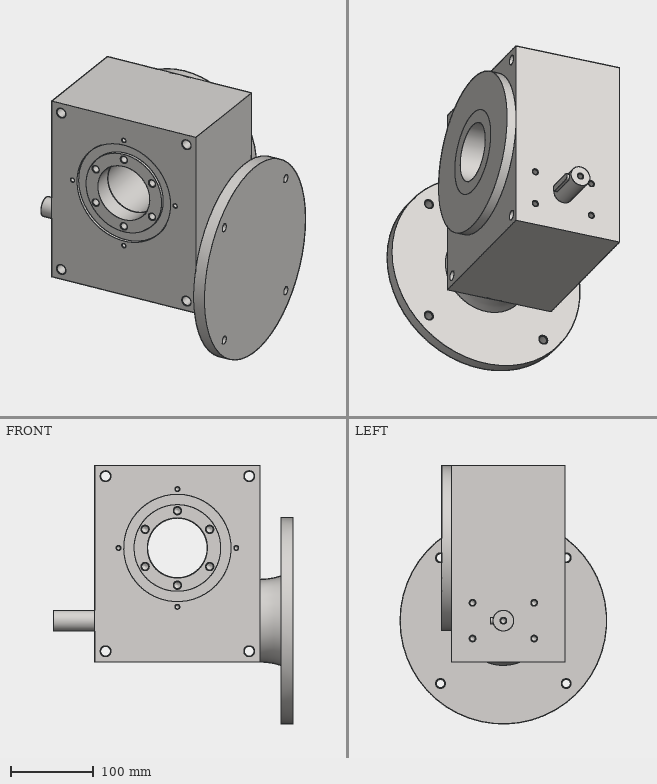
import cadquery as cq
import math

HOUSING_WIDTH = 200.0
INPUT_FLANGE_DIAMETER = 250.0
OVERALL_HEIGHT = 313.0
OVERALL_DEPTH = 149.5

OUTPUT_FLANGE_THICKNESS = 12.0
OUTPUT_FLANGE_DIAMETER = HOUSING_WIDTH
CORNER_HOLE_DIAMETER = 12.0
CORNER_HOLE_MOUTH = 13.0
CORNER_HOLE_MARGIN = 13.0

GROOVE_DIAMETER = 130.0
GROOVE_DEPTH = 4.0
COVER_HOLE_DIAMETER = 5.0
COVER_HOLE_MOUTH = 6.0
COVER_HOLE_CIRCLE = 142.5
COVER_HOLE_COUNT = 4
COVER_HOLE_DEPTH = 10.0

NECK_DIAMETER = 100.2
NECK_FLARED_DIAMETER = 108.3
NECK_LENGTH = 25.0
INPUT_FLANGE_THICKNESS = 15.0
FLANGE_HOLE_DIAMETER = 10.0
FLANGE_HOLE_MOUTH = 12.0
FLANGE_HOLE_CIRCLE = 215.0
FLANGE_HOLE_COUNT = 4
SIDE_HOLE_DIAMETER = 6.5
SIDE_HOLE_MOUTH = 8.0
SIDE_HOLE_SPACING_Y = 74.5
SIDE_HOLE_SPACING_Z = 43.2
SIDE_HOLE_DEPTH = 15.0

HOLLOW_SHAFT_DIAMETER = 105.0
BORE_DIAMETER = 72.0
WIDE_BORE_DIAMETER = 73.0
NARROW_BORE_LENGTH = 25.0
HUB_HOLE_DIAMETER = 8.5
HUB_HOLE_MOUTH = 10.0
HUB_HOLE_CIRCLE = 90.0
HUB_HOLE_COUNT = 6
HUB_HOLE_DEPTH = 15.0

SHAFT_DIAMETER = 25.0
SHAFT_LENGTH = 50.0
CENTER_HOLE_DIAMETER = 6.5
CENTER_HOLE_MOUTH = 8.0
CENTER_HOLE_DEPTH = 15.0
KEY_LENGTH = 40.0
KEY_WIDTH = 8.0
KEY_TOP_Y = 15.5
KEY_END_GAP = 5.0

DRILL_TIP_ANGLE = 118.0

FRONT_Y = -OVERALL_DEPTH / 2
BACK_Y = OVERALL_DEPTH / 2
HOUSING_LEFT_X = -HOUSING_WIDTH / 2
HOUSING_RIGHT_X = HOUSING_WIDTH / 2
HOUSING_TOP_Z = HOUSING_WIDTH / 2
HOUSING_BACK_Y = BACK_Y - OUTPUT_FLANGE_THICKNESS
INPUT_AXIS_Z = HOUSING_TOP_Z + INPUT_FLANGE_DIAMETER / 2 - OVERALL_HEIGHT
HOUSING_BOTTOM_Z = INPUT_AXIS_Z - NECK_DIAMETER / 2
SHAFT_TIP_X = HOUSING_LEFT_X - SHAFT_LENGTH
INPUT_FLANGE_X = HOUSING_RIGHT_X + NECK_LENGTH

ALONG_X = cq.Vector(1, 0, 0)
ALONG_Y = cq.Vector(0, 1, 0)


def cylinder(diameter, length, start, direction):
    return cq.Workplane(cq.Solid.makeCylinder(diameter / 2, length, cq.Vector(*start), direction))


def chamfered_hole(diameter, mouth, depth, start, direction):
    """A round hole whose mouth widens at 45 degrees."""
    chamfer = (mouth - diameter) / 2
    cone = cq.Solid.makeCone(mouth / 2, diameter / 2, chamfer, cq.Vector(*start), direction)
    return cylinder(diameter, depth, start, direction).union(cq.Workplane(cone))


def blind_hole(diameter, mouth, depth, start, direction):
    """A chamfered hole that ends in a conical drill tip beyond the given depth."""
    radius = diameter / 2
    tip_length = radius / math.tan(math.radians(DRILL_TIP_ANGLE / 2))
    tip_start = cq.Vector(*start) + direction * depth
    tip = cq.Solid.makeCone(radius, 0, tip_length, tip_start, direction)
    return chamfered_hole(diameter, mouth, depth, start, direction).union(cq.Workplane(tip))


def circle_places(diameter, count, start_angle):
    """Evenly spaced places on a circle, as pairs of offsets from its centre."""
    angles = [math.radians(start_angle + 360 * i / count) for i in range(count)]
    return [(diameter / 2 * math.cos(a), diameter / 2 * math.sin(a)) for a in angles]


def housing_block():
    block = cq.Workplane().box(
        HOUSING_WIDTH,
        HOUSING_BACK_Y - FRONT_Y,
        HOUSING_TOP_Z - HOUSING_BOTTOM_Z,
        centered=False,
    ).translate((HOUSING_LEFT_X, FRONT_Y, HOUSING_BOTTOM_Z))
    output_flange = cylinder(
        OUTPUT_FLANGE_DIAMETER, OUTPUT_FLANGE_THICKNESS, (0, HOUSING_BACK_Y, 0), ALONG_Y
    )
    return block.union(output_flange)


def input_flange():
    """The flared neck and round flange, turned about the input axis."""
    flare = (NECK_FLARED_DIAMETER - NECK_DIAMETER) / 2
    flare_radius = (NECK_LENGTH**2 + flare**2) / (2 * flare)
    half_angle = math.asin(NECK_LENGTH / flare_radius) / 2
    flare_middle = (
        HOUSING_RIGHT_X + flare_radius * math.sin(half_angle),
        NECK_DIAMETER / 2 + flare_radius * (1 - math.cos(half_angle)),
    )
    flange_end_x = INPUT_FLANGE_X + INPUT_FLANGE_THICKNESS
    profile = (
        cq.Workplane("XY")
        .moveTo(HOUSING_RIGHT_X, 0)
        .lineTo(HOUSING_RIGHT_X, NECK_DIAMETER / 2)
        .threePointArc(flare_middle, (INPUT_FLANGE_X, NECK_FLARED_DIAMETER / 2))
        .lineTo(INPUT_FLANGE_X, INPUT_FLANGE_DIAMETER / 2)
        .lineTo(flange_end_x, INPUT_FLANGE_DIAMETER / 2)
        .lineTo(flange_end_x, 0)
        .close()
    )
    flange = profile.revolve(360, (0, 0, 0), (1, 0, 0)).translate((0, 0, INPUT_AXIS_Z))
    for y, z in circle_places(FLANGE_HOLE_CIRCLE, FLANGE_HOLE_COUNT, 45):
        start = (INPUT_FLANGE_X, y, INPUT_AXIS_Z + z)
        hole = chamfered_hole(
            FLANGE_HOLE_DIAMETER, FLANGE_HOLE_MOUTH, INPUT_FLANGE_THICKNESS, start, ALONG_X
        )
        flange = flange.cut(hole)
    return flange


def make_housing():
    housing = housing_block().union(input_flange())

    seat = cylinder(HOLLOW_SHAFT_DIAMETER, OVERALL_DEPTH, (0, FRONT_Y, 0), ALONG_Y)
    groove = cylinder(GROOVE_DIAMETER, GROOVE_DEPTH, (0, FRONT_Y, 0), ALONG_Y)
    housing = housing.cut(seat).cut(groove)

    corner_x = HOUSING_RIGHT_X - CORNER_HOLE_MARGIN
    corner_heights = (HOUSING_TOP_Z - CORNER_HOLE_MARGIN, HOUSING_BOTTOM_Z + CORNER_HOLE_MARGIN)
    for x in (-corner_x, corner_x):
        for z in corner_heights:
            start = (x, FRONT_Y, z)
            hole = chamfered_hole(
                CORNER_HOLE_DIAMETER, CORNER_HOLE_MOUTH, OVERALL_DEPTH, start, ALONG_Y
            )
            housing = housing.cut(hole)

    for x, z in circle_places(COVER_HOLE_CIRCLE, COVER_HOLE_COUNT, 0):
        start = (x, FRONT_Y, z)
        hole = blind_hole(COVER_HOLE_DIAMETER, COVER_HOLE_MOUTH, COVER_HOLE_DEPTH, start, ALONG_Y)
        housing = housing.cut(hole)

    for y in (-SIDE_HOLE_SPACING_Y / 2, SIDE_HOLE_SPACING_Y / 2):
        for z in (-SIDE_HOLE_SPACING_Z / 2, SIDE_HOLE_SPACING_Z / 2):
            start = (HOUSING_LEFT_X, y, INPUT_AXIS_Z + z)
            hole = blind_hole(SIDE_HOLE_DIAMETER, SIDE_HOLE_MOUTH, SIDE_HOLE_DEPTH, start, ALONG_X)
            housing = housing.cut(hole)
    return housing


def make_hollow_shaft():
    shaft = cylinder(HOLLOW_SHAFT_DIAMETER, OVERALL_DEPTH, (0, FRONT_Y, 0), ALONG_Y)
    shaft = shaft.cut(cylinder(BORE_DIAMETER, OVERALL_DEPTH, (0, FRONT_Y, 0), ALONG_Y))

    wide_start_y = FRONT_Y + NARROW_BORE_LENGTH
    shaft = shaft.cut(
        cylinder(WIDE_BORE_DIAMETER, BACK_Y - wide_start_y, (0, wide_start_y, 0), ALONG_Y)
    )

    for x, z in circle_places(HUB_HOLE_CIRCLE, HUB_HOLE_COUNT, 90):
        start = (x, FRONT_Y, z)
        shaft = shaft.cut(
            blind_hole(HUB_HOLE_DIAMETER, HUB_HOLE_MOUTH, HUB_HOLE_DEPTH, start, ALONG_Y)
        )
    return shaft


def make_input_shaft():
    """The shaft end that stands on the housing side, with its round-ended key."""
    tip = (SHAFT_TIP_X, 0, INPUT_AXIS_Z)
    key = (
        cq.Workplane("XZ")
        .center(SHAFT_TIP_X + KEY_END_GAP + KEY_LENGTH / 2, INPUT_AXIS_Z)
        .slot2D(KEY_LENGTH, KEY_WIDTH)
        .extrude(-KEY_TOP_Y)
    )
    shaft = cylinder(SHAFT_DIAMETER, SHAFT_LENGTH, tip, ALONG_X).union(key)
    center_hole = blind_hole(
        CENTER_HOLE_DIAMETER, CENTER_HOLE_MOUTH, CENTER_HOLE_DEPTH, tip, ALONG_X
    )
    return shaft.cut(center_hole)


housing = make_housing()
hollow_shaft = make_hollow_shaft()
input_shaft = make_input_shaft()

result = cq.Compound.makeCompound([housing.val(), hollow_shaft.val(), input_shaft.val()])